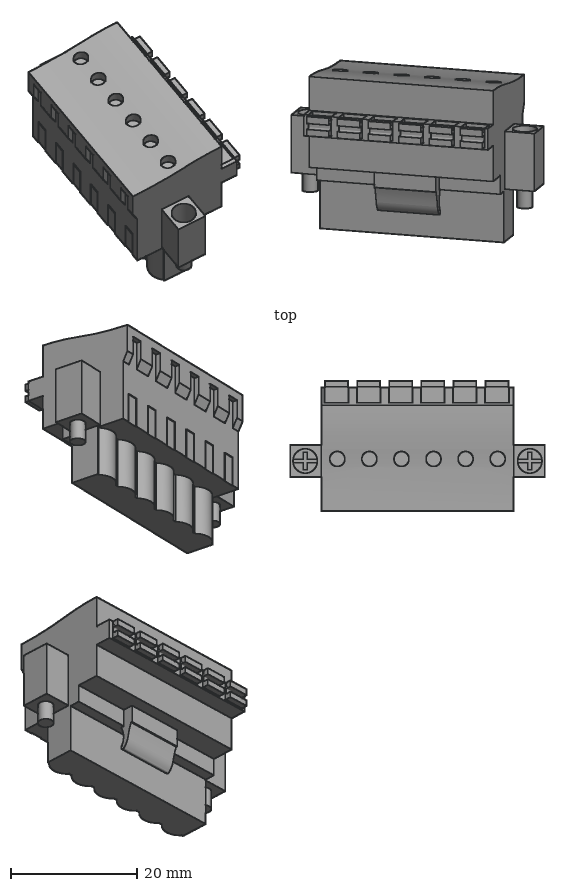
import cadquery as cq
import math

pole_count = 6
pitch = 5.08
overall_length = 40.3
overlap = 0.4

top_back_z = 26.22
top_front_z = 24.77
body_bottom_z = 8.35
rear_bottom_z = 11.4
overhang_tip_z = 20.1
overhang_root_z = 18.53

back_y = 8.8
rear_step_y = 4.85
crest_y = 1.95
front_y = -7.1
overhang_y = -7.95

body_width = pole_count * pitch
half_body = body_width / 2

ledge_y = 11.65
ledge_top_z = 20.7
ledge_bottom_z = 17.25
lever_front_y = 12.7
lever_back_y = 9.2
lever_bottom_z = 17.55
lever_width = 3.65
lever_gap = 0.1
lever_offset = -0.12
lever_lip_back_y = 11.72
lever_drop = 0.6
lever_slot_top_z = 19.58
lever_slot_bottom_z = 18.6
lever_slot_fillet = 0.15

upper_recess_width = 2.05
upper_recess_top_z = 23.25
lower_recess_width = 2.0
lower_recess_top_z = 13.35
lower_recess_depth = 0.12

test_hole_diameter = 2.38
test_hole_y = 0.32
test_hole_floor_z = 23.93

socket_back_y = 3.02
socket_front_y = -2.05
socket_bulge = 1.05
socket_bulge_width = 4.5

latch_width = 2 * pitch
latch_back_y = 6.65
latch_shoulder_y = 6.45
latch_root_y = 4.23
latch_back_mid = (5.95, 6.85)
latch_bend = (5.7, 5.7)
latch_heel_mid = (5.45, 5.0)
latch_heel_end = (4.95, 4.35)
latch_tip = (4.45, 4.2)
latch_tip_end = (4.4, 4.87)
latch_throat_start = (4.7, 5.6)
latch_throat_mid = (4.75, 6.65)

flange_top_z = 18.05
flange_bottom_z = 8.6
flange_length = overall_length / 2 - half_body
screw_x = half_body + pitch / 2
head_diameter = 3.85
head_top_z = 13.2
head_height = 1.6
shank_diameter = 2.5
shank_bottom_z = 5.3
cross_depth = 0.6
cross_long_width = 0.5
cross_short_length = 2.75
cross_short_width = 0.7

pole_xs = [(i - (pole_count - 1) / 2) * pitch for i in range(pole_count)]


def box(x_min, x_max, y_min, y_max, z_min, z_max):
    """Axis-aligned box between two corners."""
    size = (x_max - x_min, y_max - y_min, z_max - z_min)
    return cq.Workplane("XY").box(*size, centered=False).translate((x_min, y_min, z_min))


def centred_box(x, width, y_min, y_max, z_min, z_max):
    """Box of a given X width centred on x."""
    return box(x - width / 2, x + width / 2, y_min, y_max, z_min, z_max)


def upright_cylinder(x, y, diameter, z_min, z_max):
    """Cylinder along Z."""
    return cq.Workplane("XY", origin=(x, y, z_min)).circle(diameter / 2).extrude(z_max - z_min)


def level_arc_sagitta(run, drop):
    """Sagitta of an arc that is level at one end and falls by drop over run."""
    half_angle = math.atan2(drop, run)
    return math.hypot(run, drop) / 2 * math.tan(half_angle / 2)


def body_block():
    """Stepped side outline of the housing, extruded along X, with an S-curved top."""
    crest_share = (back_y - crest_y) / (back_y - overhang_y)
    crest_z = top_back_z - (top_back_z - top_front_z) * crest_share
    return (
        cq.Workplane("YZ")
        .moveTo(overhang_y, overhang_tip_z)
        .lineTo(front_y, overhang_root_z)
        .lineTo(front_y, body_bottom_z)
        .lineTo(rear_step_y, body_bottom_z)
        .lineTo(rear_step_y, rear_bottom_z)
        .lineTo(back_y, rear_bottom_z)
        .lineTo(back_y, top_back_z)
        .sagittaArc((crest_y, crest_z), -level_arc_sagitta(back_y - crest_y, top_back_z - crest_z))
        .sagittaArc((overhang_y, top_front_z), level_arc_sagitta(crest_y - overhang_y, crest_z - top_front_z))
        .close()
        .extrude(half_body, both=True)
    )


def latch():
    """Hooked finger hanging below the rear step."""
    return (
        cq.Workplane("YZ")
        .moveTo(latch_back_y, rear_bottom_z + overlap)
        .lineTo(latch_back_y, body_bottom_z)
        .lineTo(latch_shoulder_y, body_bottom_z)
        .threePointArc(latch_back_mid, latch_bend)
        .threePointArc(latch_heel_mid, latch_heel_end)
        .threePointArc(latch_tip, latch_tip_end)
        .lineTo(*latch_throat_start)
        .threePointArc(latch_throat_mid, (latch_root_y, body_bottom_z))
        .lineTo(latch_root_y, rear_bottom_z + overlap)
        .close()
        .extrude(latch_width / 2, both=True)
    )


def socket_row():
    """Continuous plug block with one bulged front per pole."""
    row = box(-half_body, half_body, socket_front_y, socket_back_y, 0, body_bottom_z + overlap)
    for x in pole_xs:
        bulge = (
            cq.Workplane("XY")
            .moveTo(x - socket_bulge_width / 2, socket_front_y)
            .threePointArc(
                (x, socket_front_y - socket_bulge),
                (x + socket_bulge_width / 2, socket_front_y),
            )
            .lineTo(x + socket_bulge_width / 2, socket_front_y + overlap)
            .lineTo(x - socket_bulge_width / 2, socket_front_y + overlap)
            .close()
            .extrude(body_bottom_z + overlap)
        )
        row = row.union(bulge)
    return row


def screw_flange(side):
    """Square column beside the body; side is -1 or 1."""
    reach = flange_length + overlap
    centre_x = side * (overall_length / 2 - reach / 2)
    return centred_box(centre_x, reach, -pitch / 2, pitch / 2, flange_bottom_z, flange_top_z)


def screw_bore(side):
    """Bore that fits the head and shank of one screw, open above the head."""
    head_bore = upright_cylinder(side * screw_x, 0, head_diameter, head_top_z - head_height, flange_top_z)
    shank_bore = upright_cylinder(side * screw_x, 0, shank_diameter, flange_bottom_z, head_top_z)
    return head_bore.union(shank_bore)


def pole_cuts(x):
    """Everything cut from the housing at one pole."""
    test_hole = upright_cylinder(x, test_hole_y, test_hole_diameter, test_hole_floor_z, top_back_z)
    upper_recess = centred_box(
        x, upper_recess_width, overhang_y, front_y, overhang_root_z, upper_recess_top_z
    )
    lower_recess = centred_box(
        x, lower_recess_width, front_y, front_y + lower_recess_depth, body_bottom_z, lower_recess_top_z
    )
    lever_pocket = centred_box(
        x + lever_offset, lever_width + 2 * lever_gap, lever_back_y, ledge_y, lever_bottom_z, ledge_top_z
    )
    return [test_hole, upper_recess, lower_recess, lever_pocket]


def make_housing():
    ledge = box(-half_body, half_body, back_y - overlap, ledge_y, ledge_bottom_z, ledge_top_z)
    housing = body_block().union(ledge).union(latch()).union(socket_row())
    for side in (-1, 1):
        housing = housing.union(screw_flange(side)).cut(screw_bore(side))
    for x in pole_xs:
        for tool in pole_cuts(x):
            housing = housing.cut(tool)
    return housing


def make_lever(x):
    """Release lever: a slotted lip in front of a lower shank that fills the pocket."""
    lip = centred_box(x, lever_width, lever_lip_back_y, lever_front_y, lever_bottom_z, ledge_top_z)
    shank = centred_box(
        x, lever_width, lever_back_y, lever_lip_back_y, lever_bottom_z, ledge_top_z - lever_drop
    )
    slot = centred_box(
        x, lever_width, lever_lip_back_y, lever_front_y, lever_slot_bottom_z, lever_slot_top_z
    )
    slot = slot.edges("|X and <Y").fillet(lever_slot_fillet)
    return lip.union(shank).cut(slot)


def make_screw(side):
    """Flange screw with a cross-slotted head."""
    x = side * screw_x
    head = upright_cylinder(x, 0, head_diameter, head_top_z - head_height, head_top_z)
    shank = upright_cylinder(x, 0, shank_diameter, shank_bottom_z, head_top_z)
    cross_bottom_z = head_top_z - cross_depth
    long_bar = centred_box(
        x, head_diameter, -cross_long_width / 2, cross_long_width / 2, cross_bottom_z, head_top_z
    )
    short_bar = centred_box(
        x, cross_short_width, -cross_short_length / 2, cross_short_length / 2, cross_bottom_z, head_top_z
    )
    return head.union(shank).cut(long_bar).cut(short_bar)


housing = make_housing()
levers = [make_lever(x + lever_offset) for x in pole_xs]
screws = [make_screw(side) for side in (-1, 1)]

result = cq.Compound.makeCompound(
    [housing.val()]
    + [lever.val() for lever in levers]
    + [screw.val() for screw in screws]
)